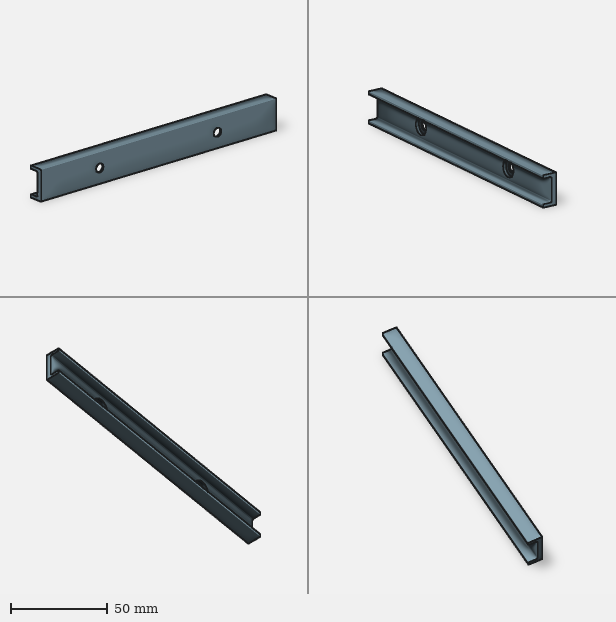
import cadquery as cq

length = 160.0
width = 8.3
height = 18.0
flange_thickness = 2.0
web_thickness = 2.9
inner_fillet = 1.0
edge_break = 0.3

hole_diameter = 5.0
counterbore_diameter = 9.5
counterbore_depth = 2.0
hole_spacing = length / 2

channel_depth = width - web_thickness
channel_height = height - 2 * flange_thickness


def make_channel():
    """U-shaped bar along Y, centred on the origin, with its lengthwise edges rounded."""
    bar = cq.Workplane("XY").box(width, length, height)
    groove = (
        cq.Workplane("XY")
        .box(channel_depth, length, channel_height)
        .edges("|Y and >X")
        .fillet(inner_fillet)
        .translate((-web_thickness / 2, 0, 0))
    )
    return bar.cut(groove).edges("|Y and (<X or >X)").fillet(edge_break)


def add_mounting_holes(body):
    """Drill and counterbore the web from the inside of the channel."""
    web_inner_face = width / 2 - web_thickness
    hole_plane = cq.Plane(origin=(web_inner_face, 0, 0), xDir=(0, -1, 0), normal=(-1, 0, 0))
    return (
        body.copyWorkplane(cq.Workplane(hole_plane))
        .pushPoints([(-hole_spacing / 2, 0), (hole_spacing / 2, 0)])
        .cboreHole(hole_diameter, counterbore_diameter, counterbore_depth, depth=web_thickness)
    )


result = add_mounting_holes(make_channel())